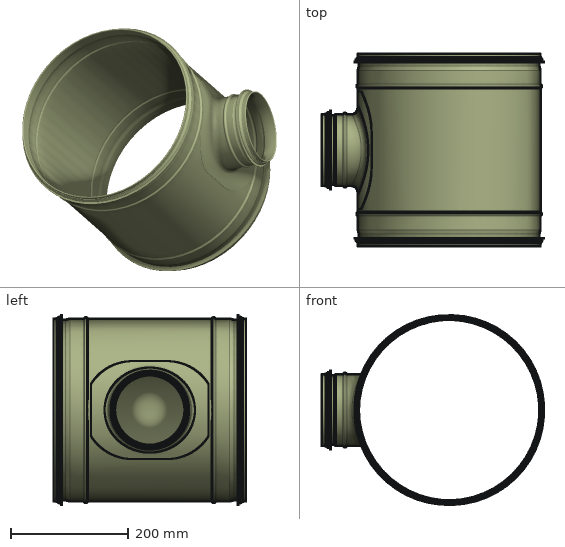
import cadquery as cq

wall = 0.57

main_diameter = 312.5
main_length = 329.0
branch_diameter = 123.0
overall_width = 380.0

groove_depth = 2.0
bead_height = 2.3
bead_half_width = 3.8

main_groove_start = 5.5
main_ramp_start = 21.0
main_ramp_end = 28.5
main_bead_place = 55.5
branch_groove_start = 6.5
branch_ramp_start = 21.3
branch_ramp_end = 24.7
branch_bead_place = 40.0

gasket_band = 2.47
gasket_length = 9.5
slanted_lip_place = 1.5
slanted_lip_crest = 5.0
slanted_lip_end = 6.0
slanted_lip_height = 3.23
straight_lip_width = 1.5
straight_lip_height = 5.7

plate_length = 200.5
plate_height = 167.0
plate_arc_offset = 29.5
neck_fillet = 9.0
opening_half_length = 77.0
opening_half_height = 72.5

main_radius = main_diameter / 2
branch_radius = branch_diameter / 2
plate_radius = main_radius + wall
branch_reach = overall_width - main_radius - straight_lip_height
bore_fillet = neck_fillet + wall


def trace_groove_and_bead(section, radius, ramp_start, ramp_end, bead_place):
    """Continue a section along the groove floor, up the ramp and over the bead."""
    bead_start = bead_place - bead_half_width
    bead_end = bead_place + bead_half_width
    blend_height = radius + bead_height / 2
    return (
        section.lineTo(ramp_start, radius - groove_depth)
        .lineTo(ramp_end, radius)
        .lineTo(bead_start, radius)
        .tangentArcPoint((bead_place - bead_half_width / 2, blend_height), relative=False)
        .threePointArc(
            (bead_place, radius + bead_height), (bead_place + bead_half_width / 2, blend_height)
        )
        .tangentArcPoint((bead_end, radius), relative=False)
    )


def tube_end(radius, groove_start, ramp_start, ramp_end, bead_place):
    """Thin tube about X from its hemmed tip at X = 0 to the far foot of its bead."""
    floor = radius - groove_depth
    bore = radius - wall
    bead_end = bead_place + bead_half_width
    places = (ramp_start, ramp_end, bead_place)

    hem_inner = floor - wall
    hem_round = (radius - hem_inner) / 2
    outer = (
        cq.Workplane("XY").moveTo(hem_round, 0).lineTo(hem_round, hem_inner)
        .threePointArc((0, hem_inner + hem_round), (hem_round, radius))
        .lineTo(groove_start, radius)
        .lineTo(groove_start, floor)
    )
    outer = trace_groove_and_bead(outer, radius, *places).lineTo(bead_end, 0).close()

    inner = cq.Workplane("XY").moveTo(0, 0).lineTo(0, hem_inner)
    inner = trace_groove_and_bead(inner, bore, *places).lineTo(bead_end, 0).close()
    return revolve_about_x(outer).cut(revolve_about_x(inner))


def revolve_about_x(section):
    return section.revolve(360, (0, 0), (1, 0))


def gasket(pipe_radius, start):
    """Double-lip sealing ring about X, seated in the groove that begins at X = start."""
    floor = pipe_radius - groove_depth
    band = floor + gasket_band
    slanted_crest = pipe_radius + slanted_lip_height
    straight_crest = pipe_radius + straight_lip_height
    end = start + gasket_length
    outline = [
        (start, floor),
        (start, band),
        (start + slanted_lip_place, band),
        (start + slanted_lip_crest, slanted_crest),
        (start + slanted_lip_end, slanted_crest),
        (start + slanted_lip_end, band),
        (end - straight_lip_width, band),
        (end - straight_lip_width, straight_crest),
        (end, straight_crest),
        (end, floor),
    ]
    return revolve_about_x(cq.Workplane("XY").polyline(outline).close())


def at_main_front(body):
    """Move a tip-at-origin body to the -Y end of the main pipe."""
    return body.rotate((0, 0, 0), (0, 0, 1), 90).translate((0, -main_length / 2, 0))


def at_main_back(body):
    return at_main_front(body).mirror("XZ")


def at_branch(body):
    return body.translate((-branch_reach, 0, 0))


def main_cylinder(radius, length=main_length):
    return cq.Workplane("XZ").circle(radius).extrude(length / 2, both=True)


def toward_branch(sketch):
    """Extrude an outline in the YZ plane from the main axis to the branch tip."""
    return sketch.extrude(-branch_reach)


def make_main_pipe():
    end = tube_end(
        main_radius, main_groove_start, main_ramp_start, main_ramp_end, main_bead_place
    )
    barrel_length = main_length - 2 * (main_bead_place + bead_half_width)
    barrel = main_cylinder(main_radius, barrel_length).cut(
        main_cylinder(main_radius - wall, barrel_length)
    )
    pipe = barrel.union(at_main_front(end)).union(at_main_back(end))
    opening = toward_branch(cq.Workplane("YZ").ellipse(opening_half_length, opening_half_height))
    return pipe.cut(opening)


def filleted_crossing(cylinder_radius, neck_radius, fillet):
    """Main cylinder joined to a solid neck along -X, with their meeting edge rounded."""
    neck = toward_branch(cq.Workplane("YZ").circle(neck_radius))
    joined = main_cylinder(cylinder_radius).union(neck)
    meeting_edge = cq.selectors.BoxSelector(
        (-cylinder_radius - wall, -branch_radius - wall, -branch_radius - wall),
        (-cylinder_radius / 2, branch_radius + wall, branch_radius + wall),
        boundingbox=True,
    )
    return joined.edges(meeting_edge).fillet(fillet)


def make_saddle():
    plate_outline = toward_branch(
        cq.Workplane("YZ").slot2D(plate_height + 2 * plate_arc_offset, plate_height)
    ).intersect(toward_branch(cq.Workplane("YZ").rect(plate_length, plate_height)))

    plate_and_neck = filleted_crossing(plate_radius, branch_radius, neck_fillet)
    hollow = filleted_crossing(main_radius, branch_radius - wall, bore_fillet)
    formed = plate_and_neck.intersect(plate_outline).cut(hollow)

    spigot = at_branch(
        tube_end(
            branch_radius, branch_groove_start, branch_ramp_start, branch_ramp_end, branch_bead_place
        )
    )
    spigot_length = branch_bead_place + bead_half_width
    cutback_radius = 2 * branch_radius
    spigot_space = at_branch(cq.Workplane("YZ").circle(cutback_radius).extrude(spigot_length))
    return formed.cut(spigot_space).union(spigot)


main_pipe = make_main_pipe()
saddle = make_saddle()
main_gasket = gasket(main_radius, main_groove_start)
gaskets = [
    at_main_front(main_gasket),
    at_main_back(main_gasket),
    at_branch(gasket(branch_radius, branch_groove_start)),
]

result = cq.Compound.makeCompound([main_pipe.val(), saddle.val(), *[ring.val() for ring in gaskets]])